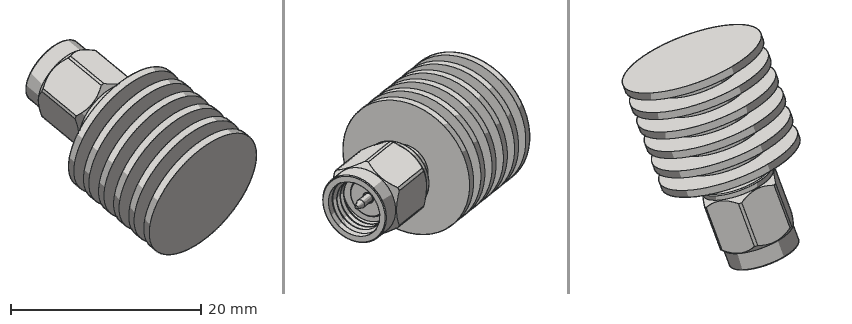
import cadquery as cq
import math


total_length = 23.11
fin_radius = 7.747
fin_count = 6
fin_thickness = 0.83
first_fin_x = 10.72
core_radius = 4.465
fin_pitch = (total_length - fin_thickness - first_fin_x) / (fin_count - 1)

sleeve_radius = 3.89
sleeve_front_chamfer = 0.1
sleeve_rear_chamfer_length = 0.14
sleeve_rear_chamfer_height = 0.1
nut_length = 9.0
hex_start_x = 2.0
hex_end_x = 8.35
hex_across_flats = 7.92
hex_corner_radius = 4.47
hex_bevel_length = 0.63
neck_radius = 2.69

socket_depth = 3.0
socket_radius = 2.77
mouth_radius = 3.13
mouth_depth = 0.75
mouth_cone_length = 0.25
thread_pitch = 0.7056
thread_depth = 0.34
thread_crest_width = 0.1
thread_half_angle = math.radians(30)
thread_start_x = -0.1
thread_end_x = socket_depth + thread_pitch / 2
thread_overlap = 0.05

insulator_radius = 2.22
insulator_height = 0.14
insulator_chamfer = 0.13
pin_radius = 0.48
pin_tip_radius = 0.18
pin_tip_x = 0.5
pin_cone_end_x = 1.36
pin_gap_radius = 0.62


def cylinder(start_x, end_x, radius):
    """Solid cylinder on the X axis."""
    return cq.Workplane("YZ").workplane(offset=start_x).circle(radius).extrude(end_x - start_x)


def revolve_profile(points):
    """Solid of revolution about X from (x, radius) points."""
    return cq.Workplane("XY").polyline(points).close().revolve(360, (0, 0, 0), (1, 0, 0))


def make_heat_sink():
    sink = cylinder(first_fin_x, total_length, core_radius)
    for index in range(fin_count):
        fin_x = first_fin_x + index * fin_pitch
        sink = sink.union(cylinder(fin_x, fin_x + fin_thickness, fin_radius))
    return sink


def make_hex():
    """Hexagon with corners at +Z and -Z, bevelled at both ends."""
    sharp_diameter = hex_across_flats / math.cos(math.pi / 6)
    prism = (
        cq.Workplane("YZ")
        .workplane(offset=hex_start_x)
        .transformed(rotate=(0, 0, 90))
        .polygon(6, sharp_diameter)
        .extrude(hex_end_x - hex_start_x)
    )
    envelope = revolve_profile([
        (hex_start_x, 0),
        (hex_start_x, sleeve_radius),
        (hex_start_x + hex_bevel_length, hex_corner_radius),
        (hex_end_x - hex_bevel_length, hex_corner_radius),
        (hex_end_x, sleeve_radius),
        (hex_end_x, 0),
    ])
    return prism.intersect(envelope)


def make_sleeve():
    return revolve_profile([
        (0, 0),
        (0, sleeve_radius - sleeve_front_chamfer),
        (sleeve_front_chamfer, sleeve_radius),
        (nut_length - sleeve_rear_chamfer_length, sleeve_radius),
        (nut_length, sleeve_radius - sleeve_rear_chamfer_height),
        (nut_length, 0),
    ])


def make_socket():
    """Threaded bore behind a wider plain mouth, joined by a cone."""
    return revolve_profile([
        (0, 0),
        (0, mouth_radius),
        (mouth_depth, mouth_radius),
        (mouth_depth + mouth_cone_length, socket_radius),
        (socket_depth, socket_radius),
        (socket_depth, 0),
    ])


def make_thread_groove():
    """Right-handed helical groove, swept along Z and then laid onto X."""
    root_radius = socket_radius + thread_depth
    inner_radius = socket_radius - thread_overlap
    flank_slope = math.tan(thread_half_angle)
    bore_half_width = (thread_pitch - thread_crest_width) / 2
    root_half_width = bore_half_width - thread_depth * flank_slope
    inner_half_width = bore_half_width + thread_overlap * flank_slope
    helix = cq.Wire.makeHelix(thread_pitch, thread_end_x - thread_start_x, socket_radius)
    groove = (
        cq.Workplane("XZ")
        .polyline([
            (inner_radius, -inner_half_width),
            (root_radius, -root_half_width),
            (root_radius, root_half_width),
            (inner_radius, inner_half_width),
        ])
        .close()
        .sweep(cq.Workplane(helix), isFrenet=True)
    )
    groove = groove.rotate((0, 0, 0), (0, 1, 0), 90).translate((thread_start_x, 0, 0))
    return groove.intersect(cylinder(0, socket_depth, mouth_radius))


def make_insulator():
    """Chamfered disc with a clearance ring around the pin."""
    front_x = socket_depth - insulator_height
    disc = cylinder(front_x, socket_depth, insulator_radius).faces("<X").chamfer(insulator_chamfer)
    return disc.cut(cylinder(front_x, socket_depth, pin_gap_radius))


def make_pin():
    return revolve_profile([
        (pin_tip_x, 0),
        (pin_tip_x, pin_tip_radius),
        (pin_cone_end_x, pin_radius),
        (socket_depth, pin_radius),
        (socket_depth, 0),
    ])


nut = make_sleeve().union(make_hex()).cut(make_socket()).cut(make_thread_groove())
neck = cylinder(nut_length, first_fin_x, neck_radius)
result = nut.union(neck).union(make_heat_sink()).union(make_insulator()).union(make_pin())